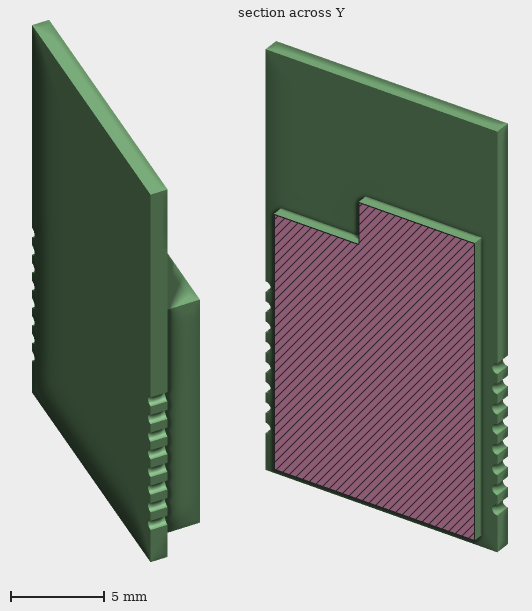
import cadquery as cq

board_width = 15.0
board_height = 26.5
board_thickness = 1.0

total_depth = 3.4
can_depth = total_depth - board_thickness
can_side_margin = 1.0
can_width = board_width - 2 * can_side_margin
can_bottom = 0.75
can_top = 19.48

step_start = 8.5
step_drop = 2.65

notch_count = 8
notch_radius = 0.33
notch_pitch = 1.27
lowest_notch = 2.65


def make_board():
    """Plate with its lower left front corner at the origin."""
    return cq.Workplane("XY").box(board_width, board_thickness, board_height, centered=False)


def make_can():
    """Stepped shield can, extruded backward from the board."""
    left = can_side_margin
    right = can_side_margin + can_width
    outline = [
        (left, can_bottom),
        (right, can_bottom),
        (right, can_top - step_drop),
        (step_start, can_top - step_drop),
        (step_start, can_top),
        (left, can_top),
    ]
    return (
        cq.Workplane("XZ", origin=(0, board_thickness, 0))
        .polyline(outline)
        .close()
        .extrude(-can_depth)
    )


def make_notches():
    """Cylinders centered on the two long edges of the board."""
    centers = [
        (x, lowest_notch + i * notch_pitch)
        for x in (0, board_width)
        for i in range(notch_count)
    ]
    return cq.Workplane("XZ").pushPoints(centers).circle(notch_radius).extrude(-board_thickness)


result = make_board().cut(make_notches()).union(make_can())